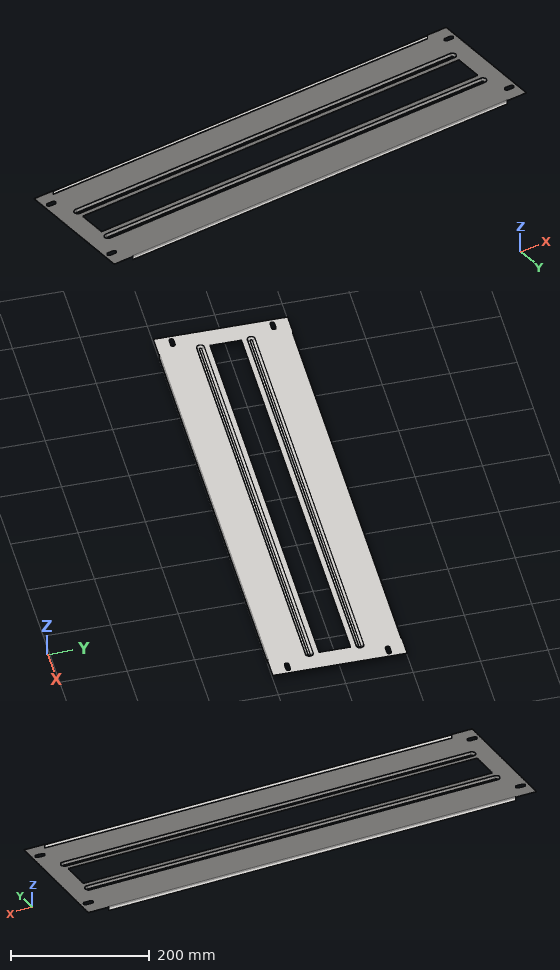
import cadquery as cq
import math

length = 730.0
width = 199.0
height = 6.5
thickness = 1.0

window_length = 666.0
window_width = 47.0
flange_length = 663.0
bend_radius = 1.2
inner_bend_radius = bend_radius - thickness

groove_spacing = 75.0
groove_length = 674.5
groove_width = 11.0
groove_floor = 3.0
groove_depth = 3.0

slot_length = 15.0
slot_width = 6.5
slot_spacing_x = 704.0
slot_spacing_y = 150.0


def groove_body(half_width, half_floor, depth):
    """Tapered bar hanging from Z = 0, with half-cone ends and a narrow flat floor."""
    half_straight = (groove_length - groove_width) / 2
    section = [(-half_width, 0), (half_width, 0), (half_floor, -depth), (-half_floor, -depth)]
    bar = cq.Workplane("YZ").polyline(section).close().extrude(half_straight, both=True)
    for end_x in (-half_straight, half_straight):
        cone = cq.Solid.makeCone(
            half_width, half_floor, depth, cq.Vector(end_x, 0, 0), cq.Vector(0, 0, -1)
        )
        bar = bar.union(cq.Workplane(obj=cone))
    return bar


def make_channel():
    """Middle of the panel, with both long edges bent down."""
    outer = (
        cq.Workplane("XY")
        .box(flange_length, width, height, centered=(True, True, False))
        .translate((0, 0, -height))
        .edges("|X and >Z")
        .fillet(bend_radius)
    )
    inner = (
        cq.Workplane("XY")
        .box(flange_length, width - 2 * thickness, height, centered=(True, True, False))
        .translate((0, 0, -height - thickness))
        .edges("|X and >Z")
        .fillet(inner_bend_radius)
    )
    return outer.cut(inner)


def make_end_plates():
    """Flat sheet beyond the two ends of the flanges."""
    end_length = (length - flange_length) / 2
    centre = (length + flange_length) / 4
    return (
        cq.Workplane("XY")
        .pushPoints([(-centre, 0), (centre, 0)])
        .rect(end_length, width)
        .extrude(-thickness)
    )


def add_grooves(panel):
    """Press the two grooves, keeping the sheet thickness along their walls."""
    half_width = groove_width / 2
    half_floor = groove_floor / 2
    wall_angle = math.atan2(groove_depth, half_width - half_floor)
    under_half_width = half_width + thickness / math.sin(wall_angle)
    under_half_floor = half_floor + thickness * math.tan(wall_angle / 2)
    underside = groove_body(under_half_width, under_half_floor, groove_depth + thickness)
    hollow = groove_body(half_width, half_floor, groove_depth)
    for groove_y in (-groove_spacing / 2, groove_spacing / 2):
        place = (0, groove_y, 0)
        panel = panel.union(underside.translate(place)).cut(hollow.translate(place))
    return panel


panel = make_channel().union(make_end_plates())
panel = add_grooves(panel)

window = cq.Workplane("XY").rect(window_length, window_width).extrude(-height)
slots = (
    cq.Workplane("XY")
    .rect(slot_spacing_x, slot_spacing_y, forConstruction=True)
    .vertices()
    .slot2D(slot_length, slot_width)
    .extrude(-height)
)

result = panel.cut(window).cut(slots)